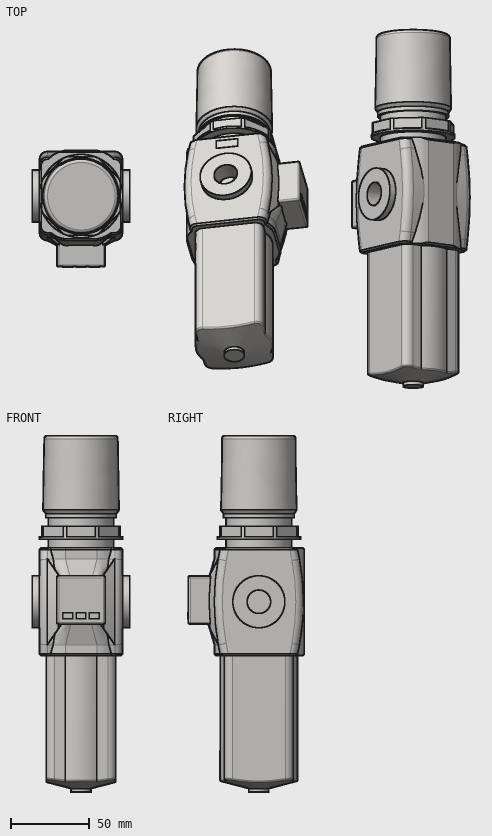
import cadquery as cq
import math


block_width = 52.8
block_half_height = 34.2
block_half_depth = 28.3
block_seam_half_depth = 25.8
block_end_half_depth = 24.5
block_corner_radius = 5.0
rim_chamfer = 1.1

bulge_flat_half = 10.0
bulge_half_width = 21.3
bulge_back = 29.0
bulge_front = 28.3
bulge_shoulder = 22.9
bulge_sag = 1.1
seam_height = 27.2

mount_front = 32.0
mount_half_height = 14.0
mount_crest_half_width = 12.2
mount_panel_half_width = 14.5
mount_flat_half = 6.5
mount_shoulder = 30.4
mount_base_half_width = 21.3

gauge_width = 30.8
gauge_height = 30.5
gauge_front = 44.9
gauge_rise = 1.1
gauge_edge_radius = 1.1
button_width = 6.3
button_height = 3.9
button_pitch = 8.4
button_z = -8.8
button_proud = 0.5

overall_width = 62.0
port_boss_diameter = 33.0
port_hole_diameter = 15.0
port_hole_depth = 13.5
plate_width = 13.8
plate_height = 6.0
plate_z = 27.9
plate_depth = 0.2

bowl_width = 44.5
bowl_half_depth = 22.0
bowl_corner_radius = 5.2
bowl_bulge_radius = 20.2
bowl_bulge_reach = 24.7
bowl_edge_radius = 1.1
dome_edge_z = -114.7
drain_diameter = 13.0
drain_top_z = -118.7
bottom_z = -121.0

overall_height = 226.5
neck_diameter = 42.0
flange_diameter = 53.0
flange_bottom_z = 39.7
nut_bottom_z = 41.2
nut_top_z = 48.0
nut_across_flats = 49.9
nut_sides = 8
collar_diameter = 45.0
collar_bottom_z = 53.3
collar_top_z = 56.0
knob_rim_z = 58.5
knob_lower_diameter = 48.5
knob_upper_diameter = 47.0
knob_top_z = bottom_z + overall_height
knob_top_radius = 2.0


def disc(diameter, z_low, z_high):
    """Vertical cylinder on the main axis."""
    return cq.Workplane("XY").workplane(offset=z_low).circle(diameter / 2).extrude(z_high - z_low)


def bulge_section(z, flat_half, half_width, reach, shoulder):
    """Outline at height z of a bulge that reaches towards +Y, flat in the middle with bowed flanks."""
    flank_x = (flat_half + half_width) / 2
    flank_y = (reach + shoulder) / 2
    flank_length = math.hypot(half_width - flat_half, reach - shoulder)
    bow_x = flank_x + bulge_sag * (reach - shoulder) / flank_length
    bow_y = flank_y + bulge_sag * (half_width - flat_half) / flank_length
    return (
        cq.Workplane("XY")
        .workplane(offset=z)
        .moveTo(-half_width, 0)
        .lineTo(-half_width, shoulder)
        .threePointArc((-bow_x, bow_y), (-flat_half, reach))
        .lineTo(flat_half, reach)
        .threePointArc((bow_x, bow_y), (half_width, shoulder))
        .lineTo(half_width, 0)
        .close()
    )


def make_block():
    """Block with barrel-shaped front and back faces and rounded corners."""
    barrel = (
        cq.Workplane("YZ")
        .moveTo(-block_end_half_depth, -block_half_height)
        .lineTo(block_end_half_depth, -block_half_height)
        .lineTo(block_seam_half_depth, -seam_height)
        .threePointArc((block_half_depth, 0), (block_seam_half_depth, seam_height))
        .lineTo(block_end_half_depth, block_half_height)
        .lineTo(-block_end_half_depth, block_half_height)
        .lineTo(-block_seam_half_depth, seam_height)
        .threePointArc((-block_half_depth, 0), (-block_seam_half_depth, -seam_height))
        .close()
        .extrude(block_width / 2, both=True)
    )
    barrel = barrel.faces("<X or >X").edges("not |Y").fillet(block_corner_radius)
    return barrel.faces("<Z or >Z").edges().chamfer(rim_chamfer)


def make_bulge(reach):
    """Full-height bulge towards +Y with chamfered ends."""
    return (
        bulge_section(-block_half_height, bulge_flat_half, bulge_half_width, reach, bulge_shoulder)
        .extrude(2 * block_half_height)
        .faces("<Z or >Z")
        .edges(">Y")
        .chamfer(rim_chamfer)
    )


def make_mount():
    """Sloping faces that lead from the block up to the gauge."""
    seam = bulge_section(seam_height, bulge_flat_half, bulge_half_width, bulge_front, bulge_shoulder)
    crest = bulge_section(
        mount_half_height, mount_flat_half, mount_crest_half_width, mount_front, mount_shoulder
    )
    slope = cq.Workplane(cq.Solid.makeLoft([seam.val(), crest.val()], True)).mirror("XZ")

    barrel_sag = block_half_depth - block_seam_half_depth
    barrel_radius = (seam_height**2 + barrel_sag**2) / (2 * barrel_sag)
    barrel_axis_y = barrel_radius - block_half_depth
    panels = (
        cq.Workplane("XY")
        .moveTo(-mount_base_half_width, 0)
        .lineTo(-mount_base_half_width, -block_half_depth)
        .lineTo(-mount_panel_half_width, -mount_front)
        .lineTo(mount_panel_half_width, -mount_front)
        .lineTo(mount_base_half_width, -block_half_depth)
        .lineTo(mount_base_half_width, 0)
        .close()
        .revolve(360, (0, barrel_axis_y, 0), (1, barrel_axis_y, 0))
    )
    ridges = (
        cq.Workplane("XZ")
        .polyline(
            [
                (-mount_crest_half_width, mount_half_height),
                (mount_crest_half_width, mount_half_height),
                (mount_base_half_width, seam_height),
                (mount_base_half_width, -seam_height),
                (mount_crest_half_width, -mount_half_height),
                (-mount_crest_half_width, -mount_half_height),
                (-mount_base_half_width, -seam_height),
                (-mount_base_half_width, seam_height),
            ]
        )
        .close()
        .extrude(mount_front)
    )
    return panels.intersect(ridges).union(slope).union(slope.mirror("XY"))


def make_gauge():
    """Square gauge with rounded edges and a row of raised buttons."""
    gauge = (
        cq.Workplane("XZ")
        .center(0, gauge_rise)
        .rect(gauge_width, gauge_height)
        .extrude(gauge_front)
        .edges("|Y")
        .fillet(gauge_edge_radius)
        .faces("<Y")
        .edges()
        .fillet(gauge_edge_radius)
    )
    buttons = (
        cq.Workplane("XZ")
        .pushPoints([(i * button_pitch, button_z) for i in (-1, 0, 1)])
        .rect(button_width, button_height)
        .extrude(gauge_front + button_proud)
    )
    return gauge.union(buttons)


def make_bowl():
    """Bowl with rounded corners, a bulged front and back, a conical bottom and a drain."""
    height = -block_half_height - bottom_z
    base = cq.Workplane("XY").workplane(offset=bottom_z)
    bowl = base.rect(bowl_width, 2 * bowl_half_depth).extrude(height).edges("|Z").fillet(bowl_corner_radius)
    bulge_y = bowl_bulge_reach - bowl_bulge_radius
    bowl = bowl.union(
        base.pushPoints([(0, bulge_y), (0, -bulge_y)]).circle(bowl_bulge_radius).extrude(height)
    )
    edge_radius = bowl_width / 2
    drain_radius = drain_diameter / 2
    cone_slope = (dome_edge_z - drain_top_z) / (edge_radius - drain_radius)
    envelope_radius = bowl_width
    envelope = (
        cq.Workplane("XZ")
        .moveTo(0, drain_top_z)
        .lineTo(drain_radius, drain_top_z)
        .lineTo(envelope_radius, drain_top_z + cone_slope * (envelope_radius - drain_radius))
        .lineTo(envelope_radius, -block_half_height)
        .lineTo(0, -block_half_height)
        .close()
        .revolve()
    )
    bowl = bowl.intersect(envelope)
    bowl = bowl.faces("%CONE").edges("not <Z").fillet(bowl_edge_radius)
    return bowl.union(disc(drain_diameter, bottom_z, drain_top_z))


def make_knob():
    """Neck, collar and slightly tapered knob, turned about the main axis."""
    knob = (
        cq.Workplane("XZ")
        .moveTo(0, collar_top_z)
        .lineTo(collar_diameter / 2, collar_top_z)
        .lineTo(knob_lower_diameter / 2, knob_rim_z)
        .lineTo(knob_upper_diameter / 2, knob_top_z)
        .lineTo(0, knob_top_z)
        .close()
        .revolve()
        .faces(">Z")
        .edges()
        .fillet(knob_top_radius)
    )
    neck = disc(neck_diameter, block_half_height, collar_bottom_z)
    return knob.union(neck).union(disc(collar_diameter, collar_bottom_z, collar_top_z))


def make_housing():
    """Block, gauge, bowl and knob in one piece, with a blind port on each side and a name plate recess."""
    housing = make_block().union(make_bulge(bulge_back)).union(make_bulge(bulge_front).mirror("XZ"))
    for part in (make_mount(), make_gauge(), make_bowl(), make_knob()):
        housing = housing.union(part)
    bosses = cq.Workplane("YZ").circle(port_boss_diameter / 2).extrude(overall_width / 2, both=True)
    housing = housing.union(bosses)
    for side in (-1, 1):
        hole = (
            cq.Workplane("YZ")
            .workplane(offset=side * overall_width / 2)
            .circle(port_hole_diameter / 2)
            .extrude(-side * port_hole_depth)
        )
        housing = housing.cut(hole)
    plate = (
        cq.Workplane("YZ")
        .workplane(offset=-block_width / 2)
        .center(0, plate_z)
        .rect(plate_width, plate_height)
        .extrude(plate_depth)
    )
    return housing.cut(plate)


def make_nut():
    """Octagonal panel nut with a round flange, its corners turned to the flange diameter."""
    octagon = (
        cq.Workplane("XY")
        .workplane(offset=nut_bottom_z)
        .polygon(nut_sides, nut_across_flats, circumscribed=True)
        .extrude(nut_top_z - nut_bottom_z)
        .intersect(disc(flange_diameter, nut_bottom_z, nut_top_z))
    )
    bore = disc(neck_diameter, flange_bottom_z, nut_top_z)
    return octagon.union(disc(flange_diameter, flange_bottom_z, nut_bottom_z)).cut(bore)


housing = make_housing()
nut = make_nut()

result = cq.Compound.makeCompound([housing.val(), nut.val()])